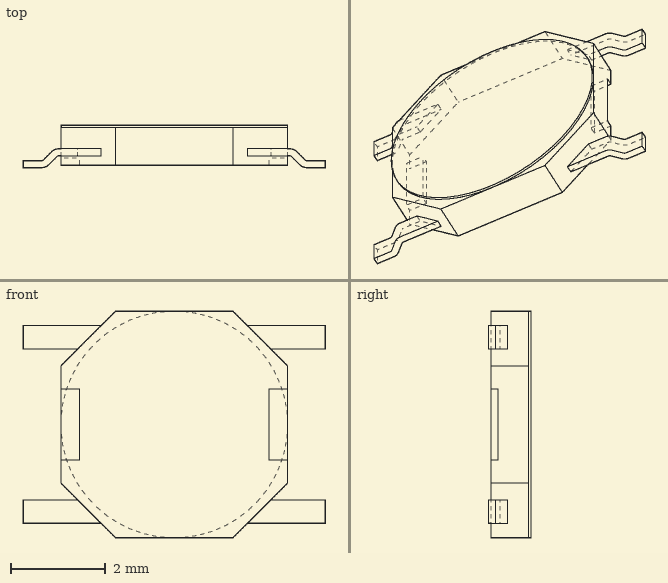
import cadquery as cq
import math

housing_side = 4.8
housing_depth = 0.8
corner_cut = 1.16
disc_depth = 0.05

pocket_width = 0.4
pocket_height = 1.5
pocket_depth = 0.155

overall_length = 6.4
lead_width = 0.5
lead_thickness = 0.155
lead_spacing = 3.69
foot_protrusion = 0.05
lead_rise = 0.25
foot_length = 0.48
inner_bend_radius = 0.05
outer_bend_radius = inner_bend_radius + lead_thickness


def block_along_y(profile, start, depth):
    """Extrude an XZ workplane profile toward +Y from Y = start."""
    return profile.extrude(-depth).translate((0, start, 0))


def make_octagon_block():
    """Square block with its four corners cut off at 45 degrees."""
    square = cq.Workplane("XZ").rect(housing_side, housing_side)
    return block_along_y(square, 0, housing_depth).edges("|Y").chamfer(corner_cut)


def make_housing():
    """Octagonal block with an edge pocket on each X side."""
    pocket_x = (housing_side - pocket_width) / 2
    pocket_outline = (
        cq.Workplane("XZ")
        .pushPoints([(-pocket_x, 0), (pocket_x, 0)])
        .rect(pocket_width, pocket_height)
    )
    return make_octagon_block().cut(block_along_y(pocket_outline, 0, pocket_depth))


def make_back_disc():
    """Thin round cover on the back of the housing."""
    circle = cq.Workplane("XZ").circle(housing_side / 2)
    return block_along_y(circle, housing_depth, disc_depth)


def make_lead(side, level):
    """Gull-wing lead ending flush on a housing corner; side and level are -1 or +1."""
    tip_x = -overall_length / 2
    inner_x = -(housing_side / 2 - corner_cut)
    foot_bend_x = tip_x + foot_length
    shank_bend_x = foot_bend_x + lead_rise
    back_shift = lead_thickness * math.tan(math.radians(45 / 2))
    foot_y = -foot_protrusion
    shank_y = foot_y + lead_rise

    strip = (
        cq.Workplane("XY")
        .moveTo(tip_x, foot_y)
        .lineTo(foot_bend_x, foot_y)
        .lineTo(shank_bend_x, shank_y)
        .lineTo(inner_x, shank_y)
        .lineTo(inner_x, shank_y + lead_thickness)
        .lineTo(shank_bend_x - back_shift, shank_y + lead_thickness)
        .lineTo(foot_bend_x - back_shift, foot_y + lead_thickness)
        .lineTo(tip_x, foot_y + lead_thickness)
        .close()
        .extrude(lead_width / 2, both=True)
    )

    def round_bend(body, x, y, radius):
        nearest = cq.selectors.NearestToPointSelector((x, y, 0))
        return body.edges(nearest).fillet(radius)

    strip = round_bend(strip, foot_bend_x, foot_y, outer_bend_radius)
    strip = round_bend(strip, shank_bend_x - back_shift, shank_y + lead_thickness, outer_bend_radius)
    strip = round_bend(strip, shank_bend_x, shank_y, inner_bend_radius)
    strip = round_bend(strip, foot_bend_x - back_shift, foot_y + lead_thickness, inner_bend_radius)

    if side > 0:
        strip = strip.mirror("YZ")
    strip = strip.translate((0, 0, level * lead_spacing / 2))
    return strip.cut(make_octagon_block())


housing = make_housing()
back_disc = make_back_disc()
leads = [make_lead(side, level) for side in (-1, 1) for level in (-1, 1)]

result = cq.Compound.makeCompound(
    [housing.val(), back_disc.val(), *[solid for lead in leads for solid in lead.solids().vals()]]
)